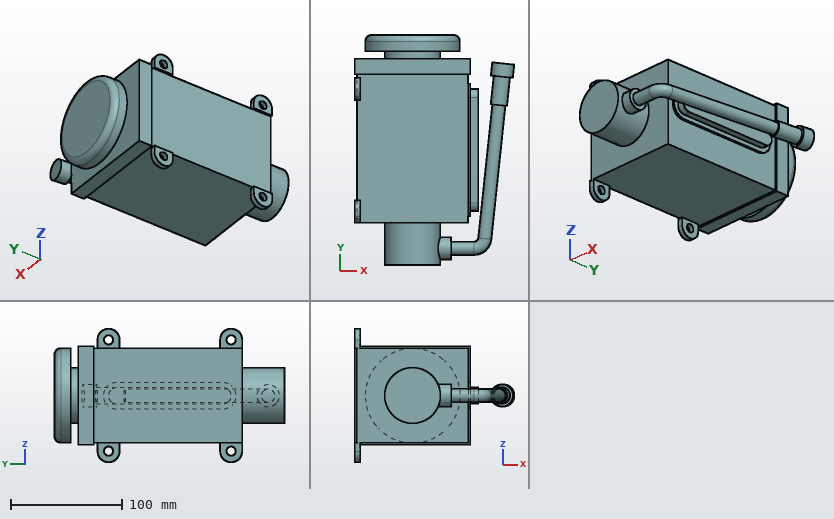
import cadquery as cq
import math


body_width = 100.0
body_height = 85.0
body_length = 133.3
flange_overhang = 2.0
flange_width = body_width + 2 * flange_overhang
flange_height = 88.5
flange_length = 14.0

port_diameter = 50.0
lower_port_length = 38.0
neck_length = 6.6
cap_diameter = 85.0
cap_length = 15.0
cap_fillet = 6.0

body_start = lower_port_length
flange_start = body_start + body_length
neck_start = flange_start + flange_length
cap_start = neck_start + neck_length

lug_width = 20.0
lug_radius = lug_width / 2
lug_thickness = 5.2
lug_span = 120.0
lug_hole_diameter = 8.0
lug_spacing = 110.1
lug_hole_height = lug_span / 2 - lug_radius
first_lug_y = body_start + lug_radius

side_center_y = 103.5
side_straight_length = 95.0
plate_width = 24.0
plate_thickness = flange_overhang
bar_width = 15.0
bar_rise = 7.0

handle_y = 15.1
collar_diameter = 20.0
collar_end_x = 34.8
rod_diameter = 12.0
bend_start_x = 55.0
bend_radius = 10.0
handle_tilt = 6.0
bend_angle = 90 - handle_tilt
rod_length = 120.5
grip_diameter = 15.0
grip_length = 25.7
knob_diameter = 20.0
knob_length = 12.0


def block(width, length, height, start_y):
    """Box centred on the port axis, extending in +Y from start_y."""
    return cq.Workplane("XY").box(width, length, height).translate((0, start_y + length / 2, 0))


def rod(start, direction, diameter, length):
    """Solid cylinder from a start point along a direction."""
    return cq.Workplane(cq.Solid.makeCylinder(diameter / 2, length, start, direction))


def make_housing():
    along_y = cq.Vector(0, 1, 0)
    body = block(body_width, body_length, body_height, body_start)
    flange = block(flange_width, flange_length, flange_height, flange_start)
    lower_port = rod(cq.Vector(0, 0, 0), along_y, port_diameter, lower_port_length)
    neck = rod(cq.Vector(0, neck_start, 0), along_y, port_diameter, neck_length)
    cap = rod(cq.Vector(0, cap_start, 0), along_y, cap_diameter, cap_length)
    cap = cap.faces(">Y").edges().fillet(cap_fillet)
    return body.union(flange).union(lower_port).union(neck).union(cap)


def make_lug(center_y, side):
    """Round-ended lug on the top (side = 1) or bottom (side = -1) of the body."""
    root_z = side * body_height / 2
    hole_z = side * lug_hole_height
    plane = cq.Workplane("YZ").workplane(offset=-flange_width / 2)
    blank = (
        plane.moveTo(center_y - lug_radius, root_z)
        .lineTo(center_y - lug_radius, hole_z)
        .threePointArc((center_y, side * lug_span / 2), (center_y + lug_radius, hole_z))
        .lineTo(center_y + lug_radius, root_z)
        .close()
        .extrude(lug_thickness)
    )
    hole = plane.center(center_y, hole_z).circle(lug_hole_diameter / 2).extrude(lug_thickness)
    return blank.cut(hole)


def make_side_slab(width, thickness):
    """Round-ended slab standing on the +X face of the body."""
    return (
        cq.Workplane("YZ")
        .workplane(offset=body_width / 2)
        .center(side_center_y, 0)
        .slot2D(side_straight_length + width, width)
        .extrude(thickness)
    )


def make_handle():
    along_x = cq.Vector(1, 0, 0)
    axis_start = cq.Vector(0, handle_y, 0)
    collar = rod(axis_start, along_x, collar_diameter, collar_end_x)
    straight = rod(axis_start, along_x, rod_diameter, bend_start_x)

    bend = (
        cq.Workplane("YZ", origin=(bend_start_x, handle_y, 0))
        .circle(rod_diameter / 2)
        .revolve(bend_angle, (bend_radius, 0, 0), (bend_radius, 1, 0))
    )
    turn = math.radians(bend_angle)
    direction = cq.Vector(math.cos(turn), math.sin(turn), 0)
    bend_end = cq.Vector(
        bend_start_x + bend_radius * math.sin(turn),
        handle_y + bend_radius * (1 - math.cos(turn)),
        0,
    )
    handle = collar.union(straight).union(bend)

    section_start = bend_end
    for diameter, length in (
        (rod_diameter, rod_length),
        (grip_diameter, grip_length),
        (knob_diameter, knob_length),
    ):
        handle = handle.union(rod(section_start, direction, diameter, length))
        section_start = section_start + direction * length
    return handle


result = make_housing()
for lug_y in (first_lug_y, first_lug_y + lug_spacing):
    for lug_side in (-1, 1):
        result = result.union(make_lug(lug_y, lug_side))
result = result.union(make_side_slab(plate_width, plate_thickness))
result = result.union(make_side_slab(bar_width, plate_thickness + bar_rise))
result = result.union(make_handle())